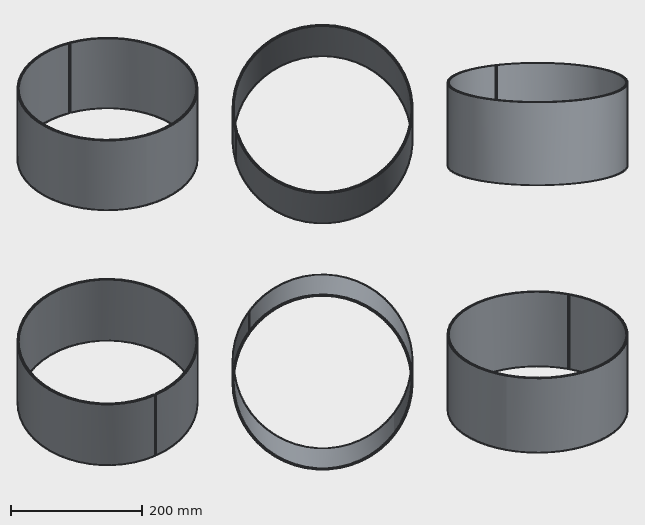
import cadquery as cq

outer_diameter = 275.0
wall_thickness = 2.5
height = 130.0
outer_chamfer = 0.5
inner_chamfer = 0.2
slit_angle = 1.0

outer_radius = outer_diameter / 2
inner_radius = outer_radius - wall_thickness


def make_ring():
    """Thin band standing on Z = 0, with its outer and inner rims chamfered."""
    wall_profile = [
        (outer_radius - outer_chamfer, 0),
        (outer_radius, outer_chamfer),
        (outer_radius, height - outer_chamfer),
        (outer_radius - outer_chamfer, height),
        (inner_radius + inner_chamfer, height),
        (inner_radius, height - inner_chamfer),
        (inner_radius, inner_chamfer),
        (inner_radius + inner_chamfer, 0),
    ]
    return cq.Workplane("XZ").polyline(wall_profile).close().revolve(360, (0, 0, 0), (0, 1, 0))


def make_slit():
    """Full-height wedge with radial sides, from the -X axis towards +Y."""
    radial_overlap = wall_thickness
    cutter_outer_radius = outer_radius + radial_overlap
    cutter_inner_radius = inner_radius - radial_overlap
    return (
        cq.Workplane("XZ")
        .moveTo(-cutter_outer_radius, 0)
        .lineTo(-cutter_inner_radius, 0)
        .lineTo(-cutter_inner_radius, height)
        .lineTo(-cutter_outer_radius, height)
        .close()
        .revolve(slit_angle, (0, 0, 0), (0, -1, 0))
    )


result = make_ring().cut(make_slit())